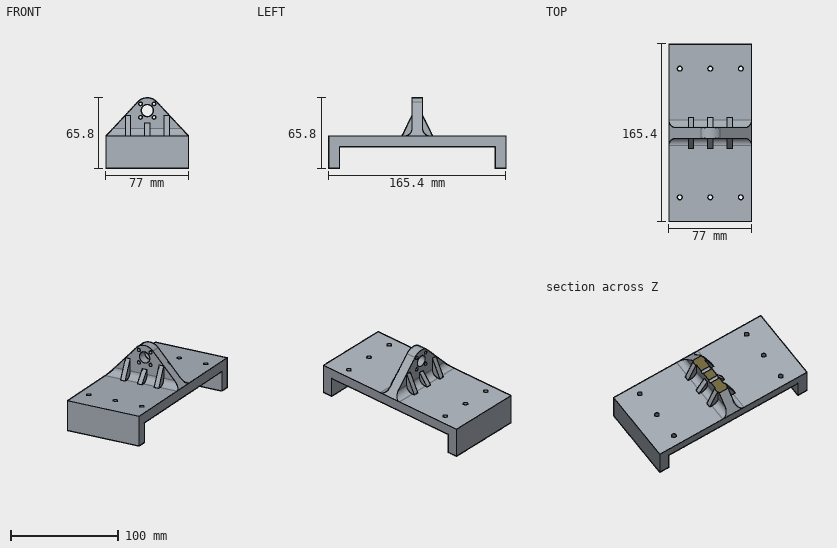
import cadquery as cq
import math

width = 77.0
length = 165.4
height = 65.8
base_height = 30.1
plate_thickness = 10.3
leg_thickness = 10.3

web_thickness = 10.0
web_fillet = 7.0
crown_radius = 12.0
bore_z = height - crown_radius
bore_diameter = 11.0
screw_diameter = 3.1
screw_spacing = 12.5

rib_thickness = 5.0
rib_reach = 9.5
outer_rib_x = 18.0
outer_rib_height = 19.2
center_rib_height = 11.9

mount_diameter = 4.3
mount_spacing_x = 28.5
mount_spacing_y = 119.9

half_width = width / 2
half_web = web_thickness / 2


def make_base():
    block = cq.Workplane("XY").box(width, length, base_height, centered=(True, True, False))
    opening = cq.Workplane("XY").box(
        width, length - 2 * leg_thickness, base_height - plate_thickness, centered=(True, True, False)
    )
    holes = (
        cq.Workplane("XY")
        .rarray(mount_spacing_x, mount_spacing_y, 3, 2)
        .circle(mount_diameter / 2)
        .extrude(base_height)
    )
    return block.cut(opening).cut(holes)


def make_web():
    rise = bore_z - base_height
    flank_distance = math.hypot(half_width, rise)
    tangent_angle = math.acos(crown_radius / flank_distance) - math.atan2(rise, half_width)
    tangent_x = crown_radius * math.cos(tangent_angle)
    tangent_z = bore_z + crown_radius * math.sin(tangent_angle)
    outline = (
        cq.Workplane("XZ")
        .moveTo(-half_width, base_height)
        .lineTo(half_width, base_height)
        .lineTo(tangent_x, tangent_z)
        .threePointArc((0, height), (-tangent_x, tangent_z))
        .close()
        .extrude(length / 2, both=True)
    )

    foot = half_web + web_fillet
    fillet_top = base_height + web_fillet
    arc_offset = web_fillet * math.sqrt(0.5)
    section = (
        cq.Workplane("YZ")
        .moveTo(-foot, base_height)
        .lineTo(foot, base_height)
        .threePointArc((foot - arc_offset, fillet_top - arc_offset), (half_web, fillet_top))
        .lineTo(half_web, height)
        .lineTo(-half_web, height)
        .lineTo(-half_web, fillet_top)
        .threePointArc((arc_offset - foot, fillet_top - arc_offset), (-foot, base_height))
        .close()
        .extrude(half_width, both=True)
    )
    return section.intersect(outline)


def make_rib_pair(x, rib_height):
    top = base_height + rib_height
    foot = half_web + rib_reach
    return (
        cq.Workplane("YZ", origin=(x, 0, 0))
        .polyline([(-foot, base_height), (foot, base_height), (half_web, top), (-half_web, top)])
        .close()
        .extrude(rib_thickness / 2, both=True)
    )


def make_web_holes():
    face = cq.Workplane("XZ", origin=(0, 0, bore_z))
    bore = face.circle(bore_diameter / 2).extrude(web_thickness, both=True)
    screws = (
        face.rarray(screw_spacing, screw_spacing, 2, 2)
        .circle(screw_diameter / 2)
        .extrude(web_thickness, both=True)
    )
    return bore.union(screws)


result = make_base().union(make_web())
for rib_x, rib_height in (
    (-outer_rib_x, outer_rib_height),
    (0, center_rib_height),
    (outer_rib_x, outer_rib_height),
):
    result = result.union(make_rib_pair(rib_x, rib_height))
result = result.cut(make_web_holes())